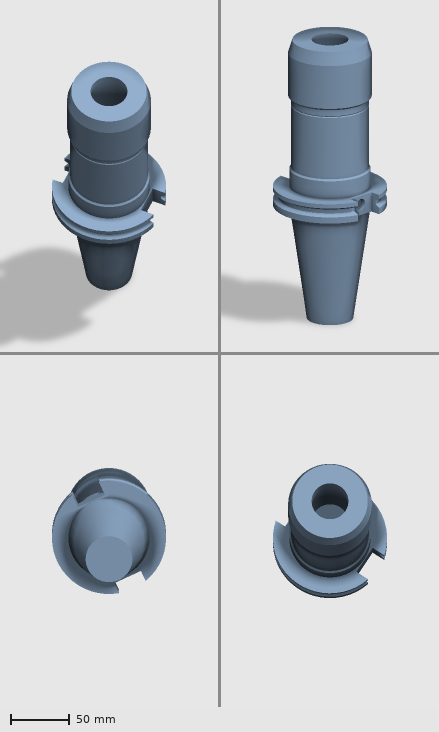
import cadquery as cq

total_length = 254.0
gauge_height = 101.5
gauge_radius = 34.92
taper_ratio = 7 / 24
small_end_radius = gauge_radius - gauge_height * taper_ratio / 2

flange_diameter = 98.3
flange_radius = flange_diameter / 2
flange_bottom = 103.0
flange_top = 120.6
v_groove_floor_radius = 45.0
v_groove_center = 112.8
v_groove_half_width = 4.0
v_groove_floor_half_width = 1.8

collar_radius = 35.0
collar_top = 138.2
body_radius = 33.5
collar_chamfer = collar_radius - body_radius
ring_groove_bottom = 194.0
ring_groove_width = 1.5
ring_groove_depth = 0.8

nut_radius = 36.0
nut_bottom = 201.2
nut_bottom_chamfer = 2.0
nut_face_radius = 32.5
nut_top_chamfer_height = 11.7

bore_radius = 15.88
bore_depth = 76.2

slot_width = 25.5
left_slot_floor = 37.8
right_slot_floor = 35.5

slot_hole_radius = 5.0
slot_hole_depth = 5.0
slot_hole_height = 112.8


def revolved(profile):
    """Revolve a closed (radius, height) profile around Z."""
    return cq.Workplane("XZ").polyline(profile).close().revolve(360, (0, 0, 0), (0, 1, 0))


def holder_body():
    """Revolved taper, flange, body and nut."""
    return revolved([
        (0, 0),
        (small_end_radius, 0),
        (gauge_radius, gauge_height),
        (gauge_radius, flange_bottom),
        (flange_radius, flange_bottom),
        (flange_radius, flange_top),
        (collar_radius, flange_top),
        (collar_radius, collar_top - collar_chamfer),
        (body_radius, collar_top),
        (body_radius, nut_bottom),
        (nut_radius, nut_bottom + nut_bottom_chamfer),
        (nut_radius, total_length - nut_top_chamfer_height),
        (nut_face_radius, total_length),
        (0, total_length),
    ])


def v_groove():
    return revolved([
        (flange_radius, v_groove_center - v_groove_half_width),
        (v_groove_floor_radius, v_groove_center - v_groove_floor_half_width),
        (v_groove_floor_radius, v_groove_center + v_groove_floor_half_width),
        (flange_radius, v_groove_center + v_groove_half_width),
    ])


def ring_groove():
    """V-shaped groove around the body below the nut."""
    return revolved([
        (body_radius, ring_groove_bottom),
        (body_radius - ring_groove_depth, ring_groove_bottom + ring_groove_width / 2),
        (body_radius, ring_groove_bottom + ring_groove_width),
    ])


def drive_slot(side, floor):
    """Slot through the flange; side is -1 for -X and +1 for +X."""
    return (
        cq.Workplane("XY", origin=(0, 0, flange_bottom))
        .center(side * (floor + flange_radius) / 2, 0)
        .rect(flange_radius - floor, slot_width)
        .extrude(flange_top - flange_bottom)
    )


def slot_hole():
    return (
        cq.Workplane("YZ", origin=(-left_slot_floor, 0, slot_hole_height))
        .circle(slot_hole_radius)
        .extrude(slot_hole_depth)
    )


def tool_bore():
    return (
        cq.Workplane("XY", origin=(0, 0, total_length - bore_depth))
        .circle(bore_radius)
        .extrude(bore_depth)
    )


result = (
    holder_body()
    .cut(v_groove())
    .cut(ring_groove())
    .cut(drive_slot(-1, left_slot_floor))
    .cut(drive_slot(1, right_slot_floor))
    .cut(slot_hole())
    .cut(tool_bore())
)